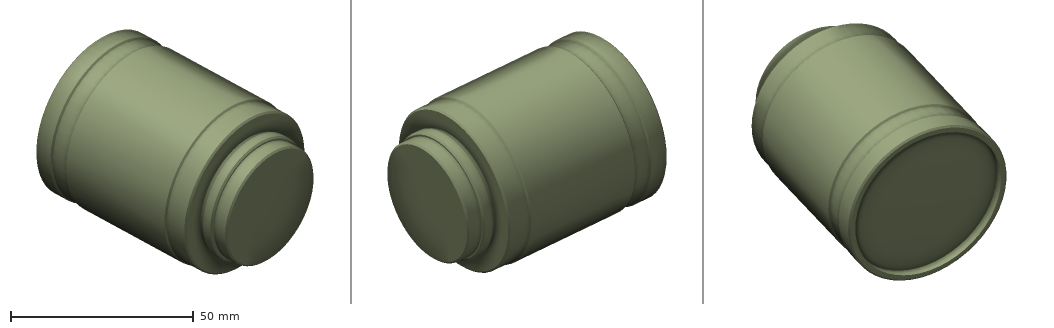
import cadquery as cq

length = 64.5
barrel_diameter = 50.0
groove_diameter = 49.0
neck_diameter = 37.0
flange_diameter = 38.0
tail_diameter = 36.0

front_ring_end = 6.1
groove_end = 11.0
barrel_end = 48.3
body_end = 55.3
neck_end = 56.6
flange_end = 59.85

edge_chamfer = 0.5
step_chamfer = (barrel_diameter - groove_diameter) / 2

recess_diameter = 46.0
recess_depth = 2.5
lens_rise = 1.3


def section(start, end, diameter, front_chamfer=0.0, rear_chamfer=0.0):
    """Solid disc from start to end along X with optional edge chamfers."""
    disc = cq.Workplane("YZ", origin=(start, 0, 0)).circle(diameter / 2).extrude(end - start)
    if front_chamfer:
        disc = disc.faces("<X").chamfer(front_chamfer)
    if rear_chamfer:
        disc = disc.faces(">X").chamfer(rear_chamfer)
    return disc


def front_recess():
    """Cutter for the front recess, with its floor bulging towards the front."""
    radius = recess_diameter / 2
    lens_apex = recess_depth - lens_rise
    lens_radius = (radius**2 + lens_rise**2) / (2 * lens_rise)
    middle_height = radius / 2
    middle_x = lens_apex + lens_radius - (lens_radius**2 - middle_height**2) ** 0.5
    return (
        cq.Workplane("XY")
        .lineTo(0, radius)
        .lineTo(recess_depth, radius)
        .threePointArc((middle_x, middle_height), (lens_apex, 0))
        .close()
        .revolve(360, (0, 0, 0), (1, 0, 0))
    )


result = (
    section(0, front_ring_end, barrel_diameter, edge_chamfer, step_chamfer)
    .union(section(front_ring_end, groove_end, groove_diameter))
    .union(section(groove_end, barrel_end, barrel_diameter, step_chamfer, step_chamfer))
    .union(section(barrel_end, body_end, groove_diameter, rear_chamfer=edge_chamfer))
    .union(section(body_end, neck_end, neck_diameter))
    .union(section(neck_end, flange_end, flange_diameter, rear_chamfer=edge_chamfer))
    .union(section(flange_end, length, tail_diameter, rear_chamfer=edge_chamfer))
    .cut(front_recess())
)